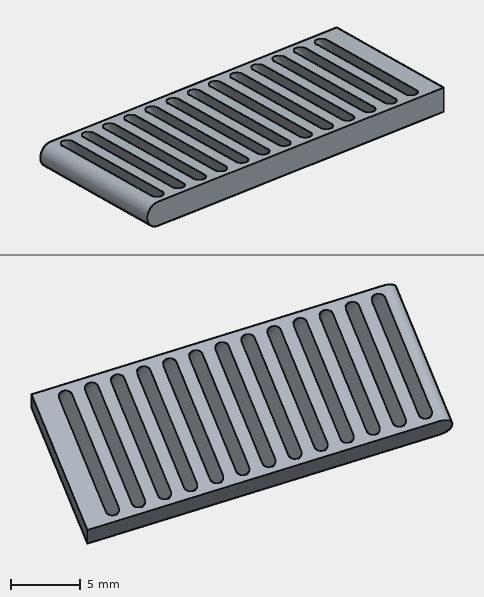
import cadquery as cq
import math

length = 28.0
width = 12.0
thickness = 2.0
nose_radius = thickness / 2

slot_count = 13
slot_length = 11.0
slot_pitch = length / 14
slot_width = slot_pitch / 2
slot_tilt = 30.0
front_margin = 1.75


def make_plate():
    """Bar centred on the origin, rounded along its -Y edge by two quarter arcs."""
    front = -length / 2
    back = length / 2
    top = thickness / 2
    nose_start = front + nose_radius
    diagonal = nose_radius * math.sqrt(0.5)
    profile = (
        cq.Workplane("YZ", origin=(-width / 2, 0, 0))
        .moveTo(back, -top)
        .lineTo(back, top)
        .lineTo(nose_start, top)
        .threePointArc((nose_start - diagonal, diagonal), (front, 0))
        .threePointArc((nose_start - diagonal, -diagonal), (nose_start, -top))
        .close()
    )
    return profile.extrude(width)


def make_slot(centre_y):
    """Slanted cutter whose horizontal section is the same slot at every height."""
    mouth = (
        cq.Workplane("XY", origin=(0, centre_y, thickness / 2))
        .slot2D(slot_length, slot_width)
        .wires()
        .val()
    )
    lean = thickness * math.tan(math.radians(slot_tilt))
    return cq.Solid.extrudeLinear(mouth, [], cq.Vector(0, lean, -thickness))


result = make_plate()
first_slot_y = -length / 2 + front_margin
for index in range(slot_count):
    result = result.cut(make_slot(first_slot_y + index * slot_pitch))